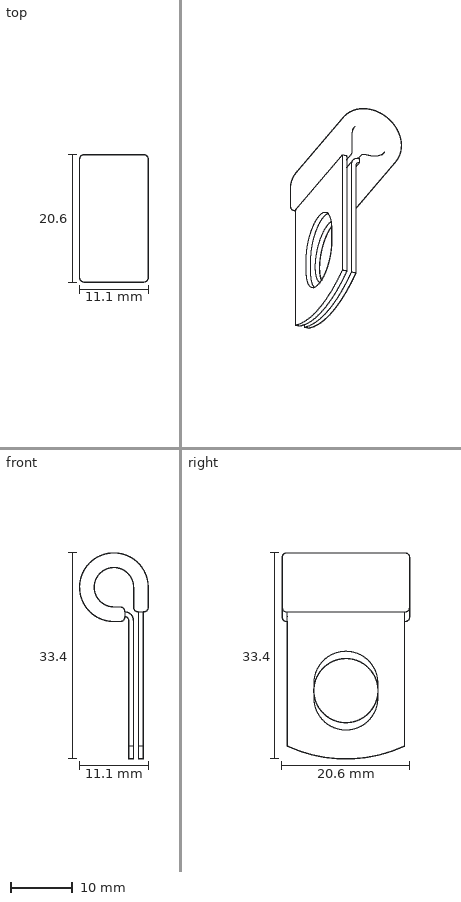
import cadquery as cq
import math

loop_radius = 5.57
strap_thickness = 0.8
sleeve_thickness = 3 * strap_thickness
sleeve_width = 20.65
sleeve_rounding = 0.77
edge_margin = 0.05
sleeve_drop = 4.0
sleeve_foot = 1.77
strap_width = 19.0
leg_gap = 0.8
bend_radius = 1.4
total_height = 33.35
tip_rise = 2.1
hole_diameter = 10.35
hole_to_tip = 11.07
slot_straight = 2.4

strap_outer = loop_radius - (sleeve_thickness - strap_thickness) / 2
strap_inner = strap_outer - strap_thickness
tip_z = loop_radius - total_height
inner_leg_x = strap_inner - leg_gap
bend_x = inner_leg_x - bend_radius
bend_z = -strap_inner - bend_radius


def hook(outer, inner, drop, foot, width):
    """Three-quarter ring with a straight drop at +X and a straight foot below."""
    mid = math.sqrt(0.5)
    return (
        cq.Workplane("XZ")
        .moveTo(outer, -drop)
        .lineTo(outer, 0)
        .threePointArc((-outer * mid, outer * mid), (0, -outer))
        .lineTo(foot, -outer)
        .lineTo(foot, -inner)
        .lineTo(0, -inner)
        .threePointArc((-inner * mid, inner * mid), (inner, 0))
        .lineTo(inner, -drop)
        .close()
        .extrude(width / 2, both=True)
    )


def make_sleeve():
    body = hook(loop_radius, loop_radius - sleeve_thickness, sleeve_drop, sleeve_foot, sleeve_width)
    foot_end = cq.selectors.BoxSelector(
        (sleeve_foot - edge_margin, -sleeve_width, -loop_radius - edge_margin),
        (sleeve_foot + edge_margin, sleeve_width, -loop_radius + sleeve_thickness + edge_margin),
    )
    drop_end = cq.selectors.BoxSelector(
        (loop_radius - sleeve_thickness - edge_margin, -sleeve_width, -sleeve_drop - edge_margin),
        (loop_radius + edge_margin, sleeve_width, -sleeve_drop + edge_margin),
    )
    profile_edges = body.faces("<Y or >Y").edges()
    end_edges = body.edges("|Y").edges(foot_end + drop_end)
    return body.newObject(profile_edges.vals() + end_edges.vals()).fillet(sleeve_rounding)


def make_inner_leg():
    """Leg that turns down from the foot of the loop."""
    mid = math.sqrt(0.5)
    inside_radius = bend_radius - strap_thickness
    return (
        cq.Workplane("XZ")
        .moveTo(bend_x, -strap_inner)
        .threePointArc((bend_x + bend_radius * mid, bend_z + bend_radius * mid), (inner_leg_x, bend_z))
        .lineTo(inner_leg_x, tip_z)
        .lineTo(inner_leg_x - strap_thickness, tip_z)
        .lineTo(inner_leg_x - strap_thickness, bend_z)
        .threePointArc((bend_x + inside_radius * mid, bend_z + inside_radius * mid), (bend_x, -strap_outer))
        .close()
        .extrude(strap_width / 2, both=True)
    )


def make_strap_outline():
    """Solid as deep as the loop with the strap's straight sides and curved lower end."""
    half = strap_width / 2
    return (
        cq.Workplane("YZ")
        .moveTo(-half, loop_radius)
        .lineTo(-half, tip_z + tip_rise)
        .threePointArc((0, tip_z), (half, tip_z + tip_rise))
        .lineTo(half, loop_radius)
        .close()
        .extrude(loop_radius, both=True)
    )


def hole_plane(x):
    """Workplane on the screw axis, facing +X."""
    return cq.Workplane("YZ", origin=(x, 0, tip_z + hole_to_tip))


strap = hook(strap_outer, strap_inner, -tip_z, bend_x, strap_width)
strap = strap.union(make_inner_leg()).intersect(make_strap_outline())

hole = hole_plane(inner_leg_x - strap_thickness).circle(hole_diameter / 2).extrude(strap_thickness)
slot_length = hole_diameter + slot_straight
slot = hole_plane(strap_inner).slot2D(slot_length, hole_diameter, 90).extrude(strap_thickness)
strap = strap.cut(hole).cut(slot)

result = make_sleeve().union(strap)